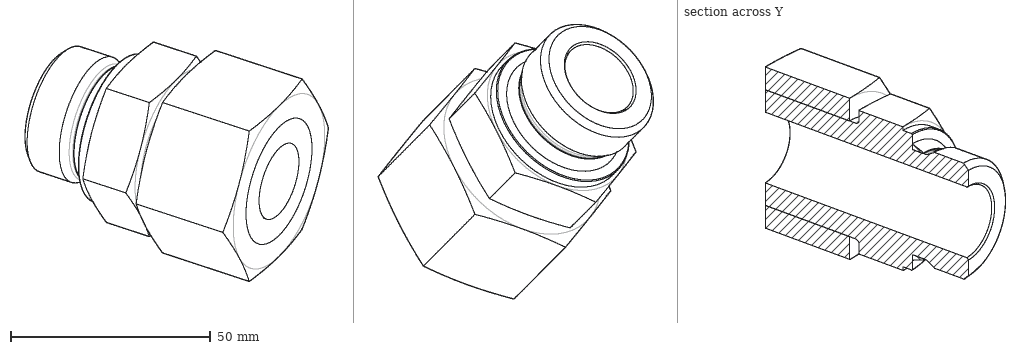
import cadquery as cq
import math

LENGTH = 65.0
STUD_GROOVE_START = 10.85
SEAL_START = 14.3
COLLAR_START = 17.95
HEX_START = 20.9
HEX_END = 35.1
NUT_START = 37.95

STUD_RADIUS = 16.6
STUD_TIP_RADIUS = 15.0
STUD_CHAMFER_LENGTH = 1.55
COLLAR_RADIUS = 19.5
COLLAR_CHAMFER = 0.25
NECK_RADIUS = STUD_RADIUS
NECK_FILLET = 1.05

GROOVE_ROOT_RADIUS = 15.1
GROOVE_FLANK_ANGLE = math.radians(30)
GROOVE_ROUND_RADIUS = 1.8

SEAL_TIP_RADIUS = 15.3
SEAL_BASE_RADIUS = 16.65

BORE_RADIUS = 10.0
BORE_CHAMFER = 0.5

FITTING_ACROSS_CORNERS = 47.3
NUT_ACROSS_CORNERS = 53.1
HEX_SIDES = 6
HEX_CHAMFER_ANGLE = math.radians(15)


def revolve_about_x(profile):
    """Revolve a closed (X, radius) profile a full turn about the X axis."""
    return profile.close().revolve(360, (0, 0, 0), (1, 0, 0))


def chamfered_hexagon(start, end, across_corners):
    """Hexagonal bar along X whose corners are turned down to cones at both ends."""
    corner_radius = across_corners / 2
    face_radius = corner_radius * math.cos(math.pi / HEX_SIDES)
    chamfer_length = (corner_radius - face_radius) * math.tan(HEX_CHAMFER_ANGLE)
    bar = (
        cq.Workplane("YZ", origin=(start, 0, 0))
        .polygon(HEX_SIDES, across_corners)
        .extrude(end - start)
    )
    turned_envelope = revolve_about_x(
        cq.Workplane("XY")
        .moveTo(start, 0)
        .lineTo(start, face_radius)
        .lineTo(start + chamfer_length, corner_radius)
        .lineTo(end - chamfer_length, corner_radius)
        .lineTo(end, face_radius)
        .lineTo(end, 0)
    )
    return bar.intersect(turned_envelope)


def make_turned_core():
    """Stud, groove, collar and neck as one turned shape without the bore."""
    flank_end_radius = GROOVE_ROOT_RADIUS + GROOVE_ROUND_RADIUS * (1 - math.cos(GROOVE_FLANK_ANGLE))
    flank_end = STUD_GROOVE_START + (STUD_RADIUS - flank_end_radius) / math.tan(GROOVE_FLANK_ANGLE)
    root_start = flank_end + GROOVE_ROUND_RADIUS * math.sin(GROOVE_FLANK_ANGLE)
    return revolve_about_x(
        cq.Workplane("XY")
        .lineTo(0, STUD_TIP_RADIUS)
        .lineTo(STUD_CHAMFER_LENGTH, STUD_RADIUS)
        .lineTo(STUD_GROOVE_START, STUD_RADIUS)
        .lineTo(flank_end, flank_end_radius)
        .tangentArcPoint((root_start, GROOVE_ROOT_RADIUS), relative=False)
        .lineTo(COLLAR_START, GROOVE_ROOT_RADIUS)
        .lineTo(COLLAR_START, COLLAR_RADIUS - COLLAR_CHAMFER)
        .lineTo(COLLAR_START + COLLAR_CHAMFER, COLLAR_RADIUS)
        .lineTo(HEX_END, COLLAR_RADIUS)
        .lineTo(HEX_END, NECK_RADIUS + NECK_FILLET)
        .radiusArc((HEX_END + NECK_FILLET, NECK_RADIUS), -NECK_FILLET)
        .lineTo(LENGTH, NECK_RADIUS)
        .lineTo(LENGTH, 0)
    )


def make_bore():
    """Through bore with a chamfered mouth at the stud tip."""
    return revolve_about_x(
        cq.Workplane("XY")
        .lineTo(0, BORE_RADIUS + BORE_CHAMFER)
        .lineTo(BORE_CHAMFER, BORE_RADIUS)
        .lineTo(LENGTH, BORE_RADIUS)
        .lineTo(LENGTH, 0)
    )


def make_fitting():
    """Fitting body: the turned core with its hexagon, bored through."""
    hexagon = chamfered_hexagon(HEX_START, HEX_END, FITTING_ACROSS_CORNERS)
    return make_turned_core().union(hexagon).cut(make_bore())


def make_seal_ring():
    """Seal ring that widens from a thin tip to its seat on the collar."""
    return revolve_about_x(
        cq.Workplane("XY")
        .moveTo(SEAL_START, GROOVE_ROOT_RADIUS)
        .lineTo(SEAL_START, SEAL_TIP_RADIUS)
        .lineTo(COLLAR_START, SEAL_BASE_RADIUS)
        .lineTo(COLLAR_START, GROOVE_ROOT_RADIUS)
    )


def make_nut():
    """Union nut around the neck of the fitting."""
    neck_hole = (
        cq.Workplane("YZ", origin=(NUT_START, 0, 0))
        .circle(NECK_RADIUS)
        .extrude(LENGTH - NUT_START)
    )
    return chamfered_hexagon(NUT_START, LENGTH, NUT_ACROSS_CORNERS).cut(neck_hole)


fitting = make_fitting()
seal_ring = make_seal_ring()
nut = make_nut()

result = cq.Compound.makeCompound([fitting.val(), seal_ring.val(), nut.val()])